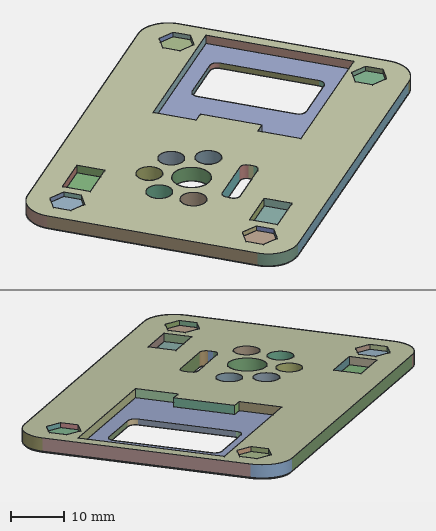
import cadquery as cq
import math

plate_width = 53.7
plate_length = 75.05
plate_thickness = 3.0
corner_radius = 6.0
bottom_chamfer = 0.4

nut_sides = 6
nut_across_flats = 6.0
nut_across_corners = nut_across_flats / math.cos(math.pi / nut_sides)
nut_depth = 1.0
nut_spacing_x = 38.2
nut_spacing_y = 62.4

recess_width = 29.35
recess_top = 35.2
recess_bottom = 5.0
recess_depth = 1.8
tab_width = 12.2
tab_height = 2.3

window_width = 22.7
window_height = 13.0
window_center_y = 22.75
window_corner_radius = 1.5

hub_y = -15.2
hub_diameter = 7.4
ring_hole_diameter = 5.0
ring_radius = 8.0
ring_steps = 7
ring_hole_count = 5
ring_start_angle = 86.0

slot_width = 3.5
slot_length = 12.5
slot_center = (9.1, -13.65)
slot_corner_radius = 1.3

pocket_width = 5.55
pocket_length = 8.3
pocket_depth = 1.65
pocket_centers = [(-19.0, -22.2), (18.15, -22.2)]


def top_plane():
    return cq.Workplane("XY").workplane(offset=plate_thickness)


def plate():
    blank = cq.Workplane("XY").box(
        plate_width, plate_length, plate_thickness, centered=(True, True, False)
    )
    return blank.edges("|Z").fillet(corner_radius).faces("<Z").edges().chamfer(bottom_chamfer)


def nut_pockets():
    return (
        top_plane()
        .rarray(nut_spacing_x, nut_spacing_y, 2, 2)
        .polygon(nut_sides, nut_across_corners)
        .extrude(-nut_depth)
    )


def display_recess():
    recess_height = recess_top - recess_bottom
    recess = (
        top_plane()
        .center(0, (recess_top + recess_bottom) / 2)
        .rect(recess_width, recess_height)
        .extrude(-recess_depth)
    )
    tab = (
        top_plane()
        .center(0, recess_bottom + tab_height / 2)
        .rect(tab_width, tab_height)
        .extrude(-recess_depth)
    )
    return recess.cut(tab)


def rounded_opening(center, width, length, radius):
    """Through cutter: a rectangle with rounded corners."""
    return (
        cq.Workplane("XY")
        .center(*center)
        .rect(width, length)
        .extrude(plate_thickness)
        .edges("|Z")
        .fillet(radius)
    )


def round_holes():
    hub = cq.Workplane("XY").center(0, hub_y).circle(hub_diameter / 2).extrude(plate_thickness)
    step_angle = 360 / ring_steps
    ring = (
        cq.Workplane("XY")
        .center(0, hub_y)
        .polarArray(ring_radius, ring_start_angle, step_angle, ring_hole_count, fill=False)
        .circle(ring_hole_diameter / 2)
        .extrude(plate_thickness)
    )
    return hub.union(ring)


def rectangular_pockets():
    return (
        top_plane()
        .pushPoints(pocket_centers)
        .rect(pocket_width, pocket_length)
        .extrude(-pocket_depth)
    )


result = (
    plate()
    .cut(nut_pockets())
    .cut(display_recess())
    .cut(rounded_opening((0, window_center_y), window_width, window_height, window_corner_radius))
    .cut(round_holes())
    .cut(rounded_opening(slot_center, slot_width, slot_length, slot_corner_radius))
    .cut(rectangular_pockets())
)